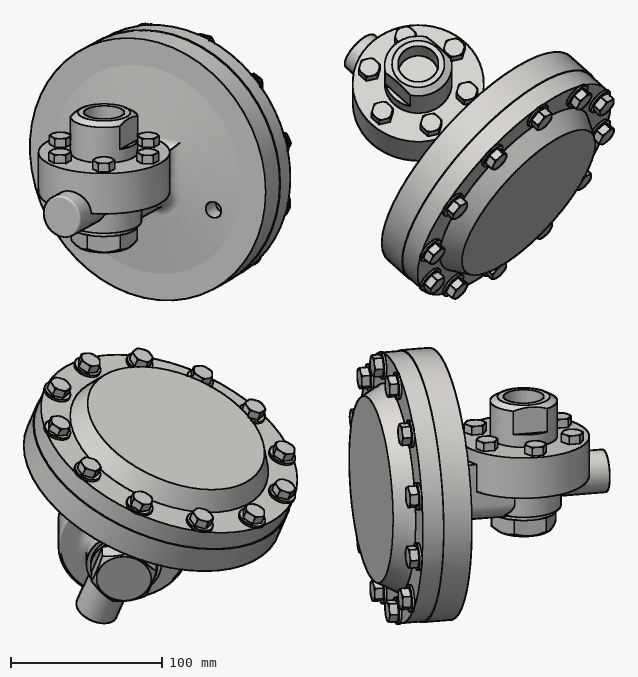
import cadquery as cq
import math


case_radius = 90.5
case_front = 57.0
cover_front = 76.1
cover_radius = 89.9
cover_back = 90.2
cap_base_radius = 69.5
cap_top_radius = 62.0
cap_back = 103.8
cone_radius = 72.0
cone_height = 8.0

port_x = 51.5
port_z = -18.8
port_radius = 5.6
port_depth = 10.9

pad_half_width = 22.0
pad_top = 19.5
pad_bottom = -22.2
pad_corner = 12.3
pad_fillet = 6.3

flange_radius = 43.4
flange_top = 28.8
flange_bottom = 0.0
flange_edge_fillet = 1.5
boss_radius = 24.8
boss_bottom = -19.4
boss_fillet = 6.5
shoulder_radius = 22.0
shoulder_bottom = -22.6

neck_radius = 22.2
neck_top = 56.6
neck_lip_radius = 17.4
neck_chamfer_height = 2.9
neck_flat_offset = 19.0
neck_flat_bottom = 37.5
bore_radius = 13.4
bore_depth = 14.1

plug_corner_radius = 21.9
plug_bottom = -35.3
plug_chamfer_height = 2.9
plug_face_radius = 18.0

pipe_radius = 14.3
pipe_front = -55.5
pipe_edge_fillet = 1.3

head_corner_radius = 7.5
head_height = 6.0
head_chamfer_height = 0.5
head_face_radius = 6.7
washer_radius = 9.0
washer_thickness = 1.6
case_bolt_count = 12
case_bolt_circle = 81.5
flange_bolt_count = 6
flange_bolt_circle = 33.5


def hex_head(corner_radius, height, face_radius, chamfer_height):
    """Hexagon standing on Z = 0, a corner on +X, with its top corners turned to a cone."""
    prism = cq.Workplane("XY").polygon(6, 2 * corner_radius).extrude(height)
    envelope = (
        cq.Workplane("XZ")
        .moveTo(0, 0)
        .lineTo(corner_radius, 0)
        .lineTo(corner_radius, height - chamfer_height)
        .lineTo(face_radius, height)
        .lineTo(0, height)
        .close()
        .revolve(360, (0, 0), (0, 1))
    )
    return prism.intersect(envelope)


def bolt_head():
    return hex_head(head_corner_radius, head_height, head_face_radius, head_chamfer_height)


def make_case():
    """Revolved disc, cover and cap about the Y axis, with a shallow cone in front."""
    return (
        cq.Workplane("XY")
        .moveTo(0, case_front - cone_height)
        .lineTo(cone_radius, case_front)
        .lineTo(case_radius, case_front)
        .lineTo(case_radius, cover_front)
        .lineTo(cover_radius, cover_front)
        .lineTo(cover_radius, cover_back)
        .lineTo(cap_base_radius, cover_back)
        .lineTo(cap_top_radius, cap_back)
        .lineTo(0, cap_back)
        .close()
        .revolve(360, (0, 0), (0, 1))
    )


def add_pad(case):
    """Pad from the valve axis into the case, filleted where it meets the cone."""
    pad = (
        cq.Workplane("XY")
        .box(2 * pad_half_width, cover_front, pad_top - pad_bottom, centered=(True, False, False))
        .translate((0, 0, pad_bottom))
        .edges("|Y and <Z")
        .fillet(pad_corner)
    )
    root_zone = cq.selectors.BoxSelector(
        (-2 * pad_half_width, case_front - cone_height, 2 * pad_bottom),
        (2 * pad_half_width, case_front - cone_height / 2, 2 * pad_top),
    )
    return case.union(pad).edges(root_zone).fillet(pad_fillet)


def make_case_bolts():
    """Washers and heads in a ring on the back of the cover."""
    pitch = 360 / case_bolt_count
    washer = cq.Workplane("XY").circle(washer_radius).extrude(washer_thickness)
    bolt = washer.union(bolt_head().translate((0, 0, washer_thickness)))
    bolt = bolt.rotate((0, 0, 0), (1, 0, 0), -90)
    half_pitch = math.radians(pitch / 2)
    bolt_x = case_bolt_circle * math.cos(half_pitch)
    bolt_z = case_bolt_circle * math.sin(half_pitch)
    first = bolt.translate((bolt_x, cover_back, bolt_z))
    bolts = first
    for index in range(1, case_bolt_count):
        bolts = bolts.union(first.rotate((0, 0, 0), (0, 1, 0), index * pitch))
    return bolts


def make_valve():
    """Flange, boss, shoulder and neck revolved about the Z axis."""
    fillet_mid = boss_fillet * (1 - math.sqrt(0.5))
    edge_mid = flange_edge_fillet * (1 - math.sqrt(0.5))
    return (
        cq.Workplane("XZ")
        .moveTo(0, shoulder_bottom)
        .lineTo(shoulder_radius, shoulder_bottom)
        .lineTo(shoulder_radius, boss_bottom)
        .lineTo(boss_radius, boss_bottom)
        .lineTo(boss_radius, flange_bottom - boss_fillet)
        .threePointArc(
            (boss_radius + fillet_mid, flange_bottom - fillet_mid),
            (boss_radius + boss_fillet, flange_bottom),
        )
        .lineTo(flange_radius - flange_edge_fillet, flange_bottom)
        .threePointArc(
            (flange_radius - edge_mid, flange_bottom + edge_mid),
            (flange_radius, flange_bottom + flange_edge_fillet),
        )
        .lineTo(flange_radius, flange_top)
        .lineTo(neck_radius, flange_top)
        .lineTo(neck_radius, neck_top - neck_chamfer_height)
        .lineTo(neck_lip_radius, neck_top)
        .lineTo(0, neck_top)
        .close()
        .revolve(360, (0, 0), (0, 1))
    )


def make_flange_bolts():
    head = bolt_head().rotate((0, 0, 0), (0, 0, 1), 90)
    first = head.translate((flange_bolt_circle, 0, flange_top))
    bolts = first
    for index in range(1, flange_bolt_count):
        bolts = bolts.union(first.rotate((0, 0, 0), (0, 0, 1), index * 360 / flange_bolt_count))
    return bolts


def make_plug():
    """Hexagonal plug hanging below the shoulder, corners on the Y axis."""
    plug = hex_head(plug_corner_radius, shoulder_bottom - plug_bottom, plug_face_radius, plug_chamfer_height)
    plug = plug.rotate((0, 0, 0), (1, 0, 0), 180).rotate((0, 0, 0), (0, 0, 1), 90)
    return plug.translate((0, 0, shoulder_bottom))


def make_pipe():
    return (
        cq.Workplane("XZ")
        .circle(pipe_radius)
        .extrude(-pipe_front)
        .faces("<Y")
        .edges()
        .fillet(pipe_edge_fillet)
    )


def make_neck_cuts():
    """Material removed for the two wrench flats and the bore."""
    flat_depth = neck_radius - neck_flat_offset
    flat_block = cq.Workplane("XY").box(
        flat_depth, 2 * neck_radius, neck_top - neck_flat_bottom, centered=(False, True, False)
    )
    right_flat = flat_block.translate((neck_flat_offset, 0, neck_flat_bottom))
    left_flat = right_flat.mirror("YZ")
    bore = cq.Workplane("XY").workplane(offset=neck_top - bore_depth).circle(bore_radius).extrude(bore_depth)
    return right_flat.union(left_flat).union(bore)


def make_port():
    """Blind hole along Y in the cone of the case."""
    port_length = cone_height + port_depth
    port_bottom = case_front + port_depth
    return (
        cq.Workplane("XZ", origin=(port_x, port_bottom, port_z))
        .circle(port_radius)
        .extrude(port_length)
    )


result = (
    add_pad(make_case())
    .union(make_case_bolts())
    .union(make_valve())
    .union(make_flange_bolts())
    .union(make_plug())
    .union(make_pipe())
    .cut(make_neck_cuts())
    .cut(make_port())
)